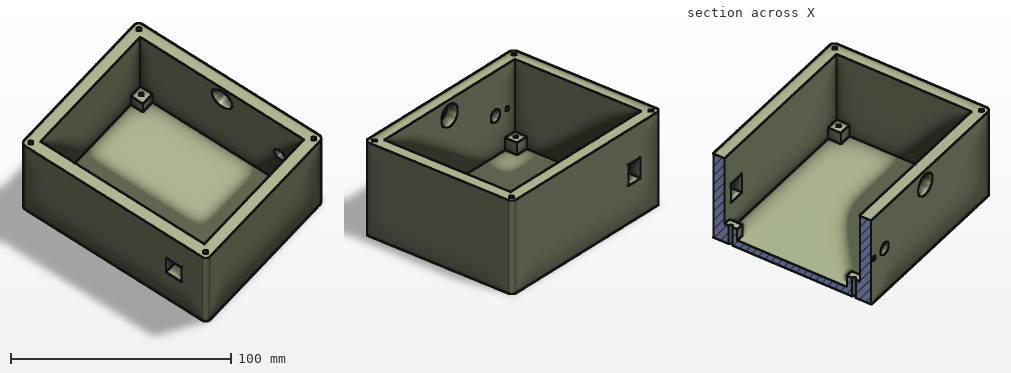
import cadquery as cq

CAVITY_X = 94.0
CAVITY_Y = 74.0
WALL = 6.35
FLOOR = 4.5
HEIGHT = 49.21
CORNER_RADIUS = 2.5

LENGTH = CAVITY_X + 2 * WALL
WIDTH = CAVITY_Y + 2 * WALL

RIM_HOLE_DIAMETER = 2.2
RIM_HOLE_DEPTH = 10.0

POST_SIZE = 7.0
POST_HEIGHT = 6.5
POST_HOLE_DIAMETER = 2.0
POST_HOLE_INSET = WALL / 2

WINDOW_WIDTH = 8.9
WINDOW_HEIGHT = 11.0
WINDOW_X = 34.35
WINDOW_Z = 25.4

BACK_HOLES = [
    (11.68, 0.0, 40.8),
    (6.6, 33.0, 25.6),
    (2.5, 41.6, 25.6),
]


def corner_points(x, y):
    """Four points mirrored about both centre planes."""
    return [(sx * x, sy * y) for sx in (-1, 1) for sy in (-1, 1)]


def make_shell():
    body = cq.Workplane("XY").box(LENGTH, WIDTH, HEIGHT, centered=(True, True, False))
    body = body.edges("|Z").fillet(CORNER_RADIUS)
    cavity = (
        cq.Workplane("XY")
        .workplane(offset=FLOOR)
        .rect(CAVITY_X, CAVITY_Y)
        .extrude(HEIGHT - FLOOR)
    )
    return body.cut(cavity)


def make_posts():
    centres = corner_points((CAVITY_X - POST_SIZE) / 2, (CAVITY_Y - POST_SIZE) / 2)
    return (
        cq.Workplane("XY")
        .pushPoints(centres)
        .rect(POST_SIZE, POST_SIZE)
        .extrude(FLOOR + POST_HEIGHT)
    )


def make_post_holes():
    centres = corner_points(CAVITY_X / 2 - POST_HOLE_INSET, CAVITY_Y / 2 - POST_HOLE_INSET)
    return (
        cq.Workplane("XY")
        .pushPoints(centres)
        .circle(POST_HOLE_DIAMETER / 2)
        .extrude(FLOOR + POST_HEIGHT)
    )


def make_rim_holes():
    centres = corner_points((CAVITY_X + WALL) / 2, (CAVITY_Y + WALL) / 2)
    return (
        cq.Workplane("XY")
        .workplane(offset=HEIGHT)
        .pushPoints(centres)
        .circle(RIM_HOLE_DIAMETER / 2)
        .extrude(-RIM_HOLE_DEPTH)
    )


def make_window():
    window = cq.Workplane("XY").box(WINDOW_WIDTH, WALL, WINDOW_HEIGHT)
    return window.translate((WINDOW_X, -(CAVITY_Y + WALL) / 2, WINDOW_Z))


def make_back_hole(diameter, x, z):
    hole = cq.Workplane("XZ").center(x, z).circle(diameter / 2).extrude(-WALL)
    return hole.translate((0, CAVITY_Y / 2, 0))


result = make_shell().union(make_posts())
result = result.cut(make_post_holes()).cut(make_rim_holes()).cut(make_window())
for diameter, x, z in BACK_HOLES:
    result = result.cut(make_back_hole(diameter, x, z))